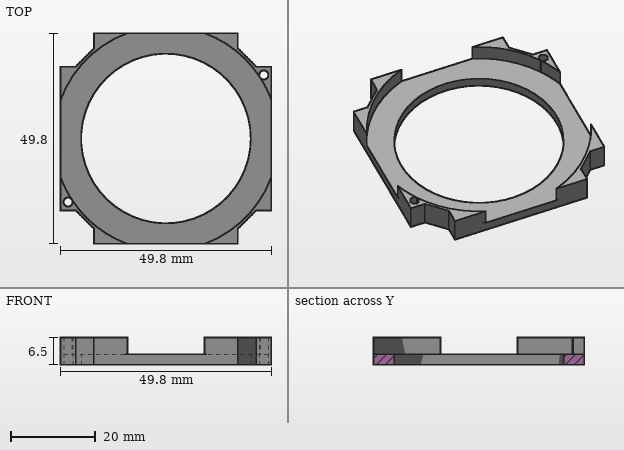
import cadquery as cq

width = 49.8
height = 6.5
floor_thickness = 2.5
bore_diameter = 40.0
recess_diameter = 53.0
notch_start = 17.0
notch_depth = 3.6
pin_hole_diameter = 2.1
pin_hole_x = 23.1
pin_hole_y = 15.0

half_width = width / 2
notch_inner = half_width - notch_depth


def corner_points(x_sign, y_sign):
    """Notch outline of one corner, from the X-facing side to the Y-facing side."""
    first_quadrant = [
        (half_width, notch_start),
        (notch_inner, notch_start),
        (notch_start, notch_inner),
        (notch_start, half_width),
    ]
    return [(x_sign * x, y_sign * y) for x, y in first_quadrant]


def make_body():
    """Square plate with a stepped, chamfered notch at each corner."""
    outline = (
        corner_points(1, 1)
        + corner_points(-1, 1)[::-1]
        + corner_points(-1, -1)
        + corner_points(1, -1)[::-1]
    )
    return cq.Workplane("XY").polyline(outline).close().extrude(height)


def cut_recess(body):
    """Round seat cut from the top down to the floor."""
    seat = (
        cq.Workplane("XY")
        .workplane(offset=floor_thickness)
        .circle(recess_diameter / 2)
        .extrude(height - floor_thickness)
    )
    return body.cut(seat)


def cut_bore(body):
    """Central opening through the floor."""
    return body.cut(cq.Workplane("XY").circle(bore_diameter / 2).extrude(height))


def cut_pin_holes(body):
    """Two through holes in diagonally opposite corners."""
    holes = (
        cq.Workplane("XY")
        .pushPoints([(pin_hole_x, pin_hole_y), (-pin_hole_x, -pin_hole_y)])
        .circle(pin_hole_diameter / 2)
        .extrude(height)
    )
    return body.cut(holes)


result = cut_pin_holes(cut_bore(cut_recess(make_body())))